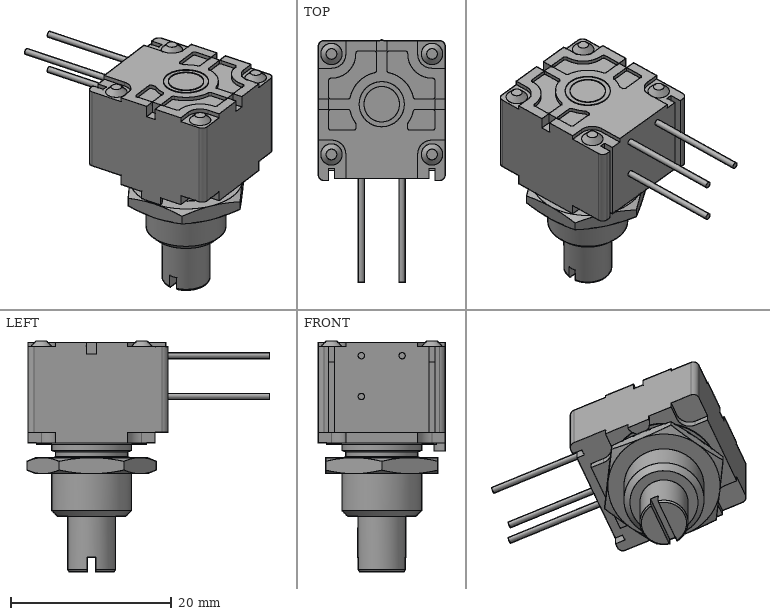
import cadquery as cq
import math


body_half = 7.95
front_face_y = -9.27
wing_y = -9.55
body_top = 12.55
corner_radius = 0.75
wing_inner_x = 5.9
base_height = 1.3
corner_cut_edge = 4.5
corner_cut_radius = 1.75

slot_outer_x = 6.65
slot_back_y = -8.27
slot_top_back_y = -8.0
slot_step_z = 10.05

corner_pocket_depth = 0.55
rivet_offset = 6.27
rivet_base_radius = 1.33
rivet_top_radius = 0.67
rivet_rise = 0.18
notch_half_width = 0.65
notch_inner = 6.65
notch_depth = 1.5
recess_depth = 0.5
recess_front_y = -3.25
recess_front_inner_x = 3.2
recess_fillet = 0.3
hub_radius = 4.03
rivet_land_radius = 3.03
ring_outer_radius = 2.82
ring_inner_radius = 2.2
ring_depth = 0.1

overall_length = 30.3
nut_across_flats = 14.0
nut_across_corners = nut_across_flats / math.cos(math.radians(30))
nut_top = -1.85
nut_thickness = 2.0
nut_chamfer_drop = 0.45

pin_radius = 0.4
pin_tip_y = nut_across_corners / 2 - overall_length
pin_offset_x = 2.55
pin_upper_z = 10.88
pin_pitch = 2 * pin_offset_x
pin_lower_z = pin_upper_z - pin_pitch
pin_positions = [
    (-pin_offset_x, pin_upper_z),
    (pin_offset_x, pin_upper_z),
    (-pin_offset_x, pin_lower_z),
]

disc_radius = 6.88
disc_bottom = -0.18
lug_radius = 1.42
lug_bottom = -1.03
bushing_radius = 5.0
bushing_bottom = -9.18
bushing_chamfer = 0.75
groove_radius = 4.52
groove_top = -0.95
groove_bottom = -1.9
groove_taper = 0.18
shaft_radius = 3.0
shaft_tip = -16.1
shaft_chamfer_height = 0.27
shaft_chamfer_width = 0.18
screw_slot_width = 1.03
screw_slot_depth = 1.82


def box(x0, x1, y0, y1, z0, z1):
    """Axis-aligned box between two opposite corners."""
    return cq.Workplane("XY").box(x1 - x0, y1 - y0, z1 - z0, centered=False).translate((x0, y0, z0))


def cylinder(radius, z0, z1, x=0, y=0):
    """Vertical cylinder between two heights."""
    return cq.Workplane("XY").workplane(offset=z0).center(x, y).circle(radius).extrude(z1 - z0)


def revolve_profile(points):
    """Solid of revolution about Z from (radius, height) points."""
    return cq.Workplane("XZ").polyline(points).close().revolve(360, (0, 0, 0), (0, 1, 0))


def corner_block(side_x, side_y, reach, z0, z1):
    """Block over one housing corner, with a rounded inner edge, for cutting."""
    block = box(corner_cut_edge, reach, corner_cut_edge, reach, z0, z1)
    block = block.edges("|Z and <X and <Y").fillet(corner_cut_radius)
    if side_x < 0:
        block = block.mirror("YZ")
    if side_y < 0:
        block = block.mirror("XZ")
    return block


corners = [(side_x, side_y) for side_x in (-1, 1) for side_y in (-1, 1)]
cut_reach = -wing_y


def make_housing_block():
    """Box with rounded corners, two front wings and a base with cut corners."""
    block = box(-body_half, body_half, wing_y, body_half, 0, body_top)
    block = block.edges("|Z").fillet(corner_radius)
    block = block.cut(box(-wing_inner_x, wing_inner_x, wing_y, front_face_y, 0, body_top))
    block = block.cut(box(-body_half, body_half, wing_y, -body_half, 0, base_height))
    for side_x, side_y in corners:
        block = block.cut(corner_block(side_x, side_y, cut_reach, 0, base_height))
        block = block.cut(
            corner_block(side_x, side_y, cut_reach, body_top - corner_pocket_depth, body_top)
        )
    return block


def cut_wing_slots(block):
    """Vertical slots beside the wings, a little deeper near the top."""
    for side in (-1, 1):
        x0, x1 = sorted((side * wing_inner_x, side * slot_outer_x))
        block = block.cut(box(x0, x1, wing_y, slot_back_y, 0, body_top))
        block = block.cut(box(x0, x1, wing_y, slot_top_back_y, slot_step_z, body_top))
    return block


def cut_edge_notches(block):
    """Notches in the middle of the left, right and rear top edges."""
    z0 = body_top - notch_depth
    notch = box(notch_inner, body_half, -notch_half_width, notch_half_width, z0, body_top)
    for angle in (0, 90, 180):
        block = block.cut(notch.rotate((0, 0, 0), (0, 0, 1), angle))
    return block


def cut_top_recesses(block):
    """Two rear and two front recesses, mirrored about X = 0, and the ring groove."""
    z0 = body_top - recess_depth
    hub = cylinder(hub_radius, z0, body_top)
    rivet_land = cylinder(rivet_land_radius, z0, body_top, rivet_offset, rivet_offset)
    rear = box(notch_half_width, notch_inner, notch_half_width, notch_inner, z0, body_top)
    rear = rear.cut(hub).cut(rivet_land)
    front = box(recess_front_inner_x, notch_inner, recess_front_y, -notch_half_width, z0, body_top)
    front = front.cut(hub)
    for recess in (rear, front):
        recess = recess.edges("|Z").fillet(recess_fillet)
        block = block.cut(recess).cut(recess.mirror("YZ"))
    ring = cylinder(ring_outer_radius, body_top - ring_depth, body_top)
    ring = ring.cut(cylinder(ring_inner_radius, body_top - ring_depth, body_top))
    return block.cut(ring)


def add_rivets(block):
    """Conical rivet heads standing on the corner pocket floors."""
    floor = body_top - corner_pocket_depth
    top = body_top + rivet_rise
    rivet = revolve_profile([(0, floor), (rivet_base_radius, floor), (rivet_top_radius, top), (0, top)])
    for side_x, side_y in corners:
        block = block.union(rivet.translate((side_x * rivet_offset, side_y * rivet_offset, 0)))
    return block


def add_pins(block):
    """Round terminals projecting from the front face."""
    for x, z in pin_positions:
        pin = cq.Workplane("XZ", origin=(x, front_face_y, z)).circle(pin_radius)
        block = block.union(pin.extrude(front_face_y - pin_tip_y))
    return block


def make_bushing_and_shaft():
    """Disc, relieved bushing and screwdriver-slotted shaft below the housing."""
    turned = revolve_profile([
        (0, 0),
        (disc_radius, 0),
        (disc_radius, disc_bottom),
        (bushing_radius, disc_bottom),
        (bushing_radius, groove_top),
        (groove_radius, groove_top - groove_taper),
        (groove_radius, groove_bottom + groove_taper),
        (bushing_radius, groove_bottom),
        (bushing_radius, bushing_bottom + bushing_chamfer),
        (bushing_radius - bushing_chamfer, bushing_bottom),
        (shaft_radius, bushing_bottom),
        (shaft_radius, shaft_tip + shaft_chamfer_height),
        (shaft_radius - shaft_chamfer_width, shaft_tip),
        (0, shaft_tip),
    ])
    half_slot = screw_slot_width / 2
    slot_top = shaft_tip + screw_slot_depth
    return turned.cut(box(-shaft_radius, shaft_radius, -half_slot, half_slot, shaft_tip, slot_top))


def make_lug():
    """Half-round locating lug flush with the +X side."""
    lug = cylinder(lug_radius, lug_bottom, 0, body_half, 0)
    return lug.intersect(box(0, body_half, -lug_radius, lug_radius, lug_bottom, 0))


def make_potentiometer():
    block = make_housing_block()
    block = cut_wing_slots(block)
    block = cut_edge_notches(block)
    block = cut_top_recesses(block)
    block = add_rivets(block)
    block = add_pins(block)
    return block.union(make_bushing_and_shaft()).union(make_lug())


def make_nut():
    """Hexagon with corners pointing along Y, chamfered on both ends, bored for the bushing."""
    bottom = nut_top - nut_thickness
    face_radius = nut_across_flats / 2
    tip_radius = nut_across_corners / 2
    hexagon = cq.Workplane("XY").workplane(offset=bottom).polygon(6, nut_across_corners)
    hexagon = hexagon.extrude(nut_thickness).rotate((0, 0, 0), (0, 0, 1), 30)
    envelope = revolve_profile([
        (0, nut_top),
        (face_radius, nut_top),
        (tip_radius, nut_top - nut_chamfer_drop),
        (tip_radius, bottom + nut_chamfer_drop),
        (face_radius, bottom),
        (0, bottom),
    ])
    return hexagon.intersect(envelope).cut(cylinder(bushing_radius, bottom, nut_top))


potentiometer = make_potentiometer()
nut = make_nut()
result = cq.Compound.makeCompound([potentiometer.val(), nut.val()])